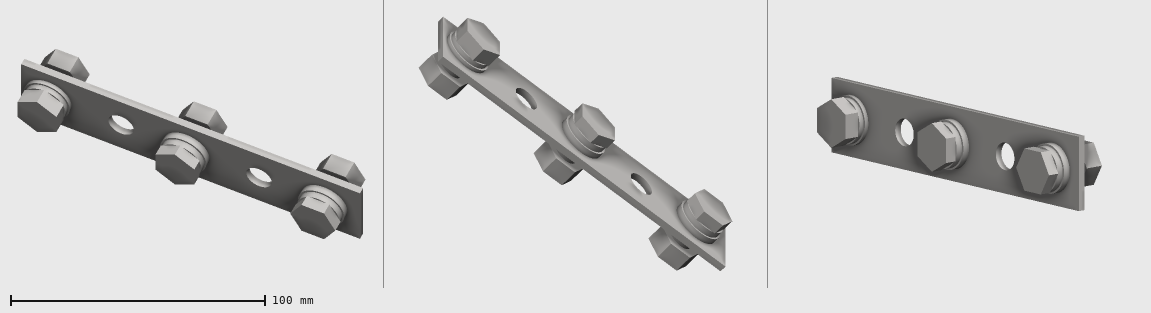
import cadquery as cq
import math

BAR_LENGTH = 147.5
BAR_HEIGHT = 30.0
BAR_THICKNESS = 3.0

END_TO_BOLT = 12.0
FIRST_BOLT_X = -BAR_LENGTH / 2 + END_TO_BOLT
BOLT_PITCH = 60.0
HOLE_OFFSET = 31.5
HOLE_DIAMETER = 11.0

HEX_FLATS = 17.0
HEX_CORNERS = HEX_FLATS / math.cos(math.radians(30))
SHANK_DIAMETER = 10.0
SHANK_LENGTH = 6.2
NUT_THICKNESS = 8.0
FLAT_WASHER_DIAMETER = 20.0
SPRING_WASHER_DIAMETER = 18.5
OVERALL_DEPTH = 27.7
FRONT_STACK_DEPTH = OVERALL_DEPTH - BAR_THICKNESS - SHANK_LENGTH - NUT_THICKNESS

NUT_START_Y = BAR_THICKNESS + SHANK_LENGTH

BOLTS = [
    (1.8, 2.2, 30.0),
    (3.0, 2.8, 30.0),
    (3.0, 2.8, 0.0),
]


def disc(x, start_y, thickness, diameter):
    """Round disc with its axis along Y, growing toward +Y from start_y."""
    return (
        cq.Workplane("XZ", origin=(x, start_y, 0))
        .circle(diameter / 2)
        .extrude(-thickness)
    )


def hexagon(x, start_y, thickness, rotation):
    """Hexagonal prism with its axis along Y, growing toward +Y from start_y."""
    return (
        cq.Workplane("XZ", origin=(x, start_y, 0))
        .transformed(rotate=(0, 0, rotation))
        .polygon(6, HEX_CORNERS)
        .extrude(-thickness)
    )


def bolt_assembly(x, flat_washer, spring_washer, head_rotation):
    """Head and two washers in front of the bar, shank and nut behind it."""
    head_thickness = FRONT_STACK_DEPTH - flat_washer - spring_washer
    head = hexagon(x, -FRONT_STACK_DEPTH, head_thickness, head_rotation)
    spring = disc(x, -flat_washer - spring_washer, spring_washer, SPRING_WASHER_DIAMETER)
    flat = disc(x, -flat_washer, flat_washer, FLAT_WASHER_DIAMETER)
    shank = disc(x, 0, NUT_START_Y, SHANK_DIAMETER)
    nut = hexagon(x, NUT_START_Y, NUT_THICKNESS, 0)
    return head.union(spring).union(flat).union(shank).union(nut)


bolt_positions = [FIRST_BOLT_X + i * BOLT_PITCH for i in range(len(BOLTS))]

result = cq.Workplane("XY").box(
    BAR_LENGTH, BAR_THICKNESS, BAR_HEIGHT, centered=(True, False, True)
)

for bolt_x in bolt_positions[:-1]:
    result = result.cut(disc(bolt_x + HOLE_OFFSET, 0, BAR_THICKNESS, HOLE_DIAMETER))

for bolt_x, (flat_thickness, spring_thickness, rotation) in zip(bolt_positions, BOLTS):
    result = result.union(bolt_assembly(bolt_x, flat_thickness, spring_thickness, rotation))